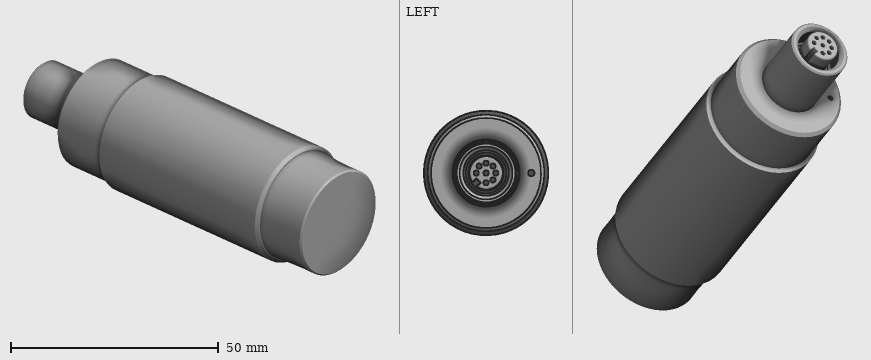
import cadquery as cq
import math

total_length = 98.1

insert_radius = 4.0
insert_fillet = 0.5
insert_end = 8.8
ring_places = 8
ring_radius = 2.4
socket_radius = 0.64
socket_depth = 2.0
key_angle = math.radians(-45)
key_width = 1.5
key_floor_radius = 2.55

sleeve_start = 1.6
sleeve_radius = 7.5
sleeve_chamfer = 0.4
mouth_radius = 6.4
mouth_depth = 0.9
counterbore_radius = 5.5
counterbore_end = 7.4
bore_radius = 4.9
bore_end = 8.0
clearance_radius = 4.3
collar_radius = 8.1
collar_chamfer = 0.3
collar_length = 0.1

cap_start = 18.4
cap_end = 20.5
cap_radius = 14.0
cap_chamfer = 0.8
indicator_hole_radius = 0.8
indicator_hole_offset = 10.9

shoulder_start = 33.2
shoulder_chamfer_length = 0.5
housing_radius = 15.0
housing_end = 85.15
housing_end_chamfer = 0.8

end_cap_start_radius = 13.9
end_cap_middle_radius = 13.5
end_cap_end_radius = 13.5
end_cap_chamfer = 0.4


def turned(profile):
    """Revolve a half profile, drawn as (x, radius), about the X axis."""
    return profile.close().revolve(360, (0, 0, 0), (1, 0, 0))


def along_x(start, end, radius, y=0.0, z=0.0):
    """Cylinder between two stations, with its axis parallel to X."""
    base = cq.Vector(start, y, z)
    return cq.Workplane(cq.Solid.makeCylinder(radius, end - start, base, cq.Vector(1, 0, 0)))


def make_key_slot():
    """Slot along the insert's side, open at its tip."""
    return (
        cq.Workplane("XY")
        .box(insert_end, insert_radius, key_width, centered=(False, False, True))
        .translate((0, key_floor_radius, 0))
        .rotate((0, 0, 0), (1, 0, 0), math.degrees(key_angle))
    )


def make_insert():
    insert = along_x(0, insert_end, insert_radius).faces("<X").edges().fillet(insert_fillet)
    insert = insert.cut(along_x(0, socket_depth, socket_radius))
    for place in range(1, ring_places):
        angle = key_angle + 2 * math.pi * place / ring_places
        y = ring_radius * math.cos(angle)
        z = ring_radius * math.sin(angle)
        insert = insert.cut(along_x(0, socket_depth, socket_radius, y, z))
    return insert.cut(make_key_slot())


def make_sleeve():
    collar_start = cap_start - collar_length
    profile = (
        cq.Workplane("XY")
        .moveTo(sleeve_start, mouth_radius)
        .lineTo(sleeve_start, sleeve_radius - sleeve_chamfer)
        .lineTo(sleeve_start + sleeve_chamfer, sleeve_radius)
        .lineTo(collar_start, sleeve_radius)
        .lineTo(collar_start, collar_radius - collar_chamfer)
        .lineTo(cap_start, collar_radius)
        .lineTo(cap_start, 0)
        .lineTo(insert_end, 0)
        .lineTo(insert_end, clearance_radius)
        .lineTo(bore_end, clearance_radius)
        .lineTo(bore_end, bore_radius)
        .lineTo(counterbore_end, bore_radius)
        .lineTo(counterbore_end, counterbore_radius)
        .lineTo(sleeve_start + mouth_depth, counterbore_radius)
    )
    return turned(profile)


def make_front_cap():
    cap = along_x(cap_start, cap_end, cap_radius).faces("<X").edges().chamfer(cap_chamfer)
    return cap.cut(along_x(cap_start, cap_end, indicator_hole_radius, y=-indicator_hole_offset))


def make_housing():
    profile = (
        cq.Workplane("XY")
        .moveTo(cap_end, 0)
        .lineTo(cap_end, cap_radius)
        .lineTo(shoulder_start, cap_radius)
        .lineTo(shoulder_start + shoulder_chamfer_length, housing_radius)
        .lineTo(housing_end - housing_end_chamfer, housing_radius)
        .lineTo(housing_end, housing_radius - housing_end_chamfer)
        .lineTo(housing_end, 0)
    )
    return turned(profile)


def make_end_cap():
    side_end = total_length - end_cap_chamfer
    side_middle = (housing_end + side_end) / 2
    profile = (
        cq.Workplane("XY")
        .moveTo(housing_end, 0)
        .lineTo(housing_end, end_cap_start_radius)
        .threePointArc((side_middle, end_cap_middle_radius), (side_end, end_cap_end_radius))
        .lineTo(total_length, end_cap_end_radius - end_cap_chamfer)
        .lineTo(total_length, 0)
    )
    return turned(profile)


insert = make_insert()
sleeve = make_sleeve()
front_cap = make_front_cap()
housing = make_housing()
end_cap = make_end_cap()

result = cq.Compound.makeCompound(
    [insert.val(), sleeve.val(), front_cap.val(), housing.val(), end_cap.val()]
)